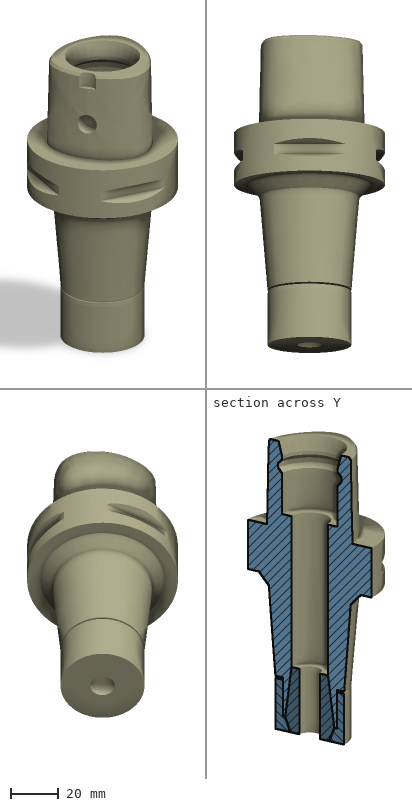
import cadquery as cq
import math

TOTAL_HEIGHT = 128.0

SHANK_HEIGHT = 38.0
SHANK_BASE_RADIUS = 22.1
SHANK_TAPER = 1 / 40
LOBE_HEIGHT = 1.3
LOBE_COUNT = 3
SHANK_CHAMFER_HEIGHT = 1.3
SHANK_CHAMFER_WIDTH = 0.9
OUTLINE_POINTS = 72

FLANGE_RADIUS = 31.5
FLANGE_HEIGHT = 22.0
FLARE_TOP_RADIUS = 25.9
FLARE_HEIGHT = 5.1
NOSE_TOP_RADIUS = 20.9
NOSE_BOTTOM_RADIUS = 17.5
NECK_RADIUS = 13.8

NUT_RADIUS = 17.5
NUT_HEIGHT = 22.7
NUT_GAP = 0.8
NUT_BAND_HEIGHT = 1.8
NUT_BAND_TAPER = 0.1
NUT_SEAT = 6.4

COLLET_BORE_RADIUS = 5.1
COLLET_BACK_RADIUS = 9.1
COLLET_MAX_RADIUS = 12.3
COLLET_FRONT_RADIUS = 9.6
COLLET_ANGLE = 8.0

MOUTH_RADIUS = 15.7
MOUTH_DEPTH = 6.4
BORE_RADIUS = 14.0
BORE_DEPTH = 32.0
GROOVE_START = 8.0
GROOVE_END = 14.0
GROOVE_DEPTH = 1.9

NOTCH_RADIUS = 4.2
NOTCH_DEPTH = 6.3
NOTCH_CENTER_Y = -21.9
SIDE_HOLE_RADIUS = 4.2
SIDE_HOLE_BELOW_TOP = 22.4
SIDE_HOLE_FLOOR_Y = -14.5

SLOT_COUNT = 4
SLOT_FIRST_ANGLE = 45.0
SLOT_BELOW_FLANGE_TOP = 12.0
SLOT_FLOOR_DISTANCE = 27.8
SLOT_FLOOR_HEIGHT = 4.2
SLOT_FLANK_ANGLE = 25.0

SHANK_BASE_Z = TOTAL_HEIGHT - SHANK_HEIGHT
FLANGE_BOTTOM_Z = SHANK_BASE_Z - FLANGE_HEIGHT
FLARE_BOTTOM_Z = FLANGE_BOTTOM_Z - FLARE_HEIGHT
NOSE_BOTTOM_Z = NUT_HEIGHT + NUT_GAP
COLLET_TAPER_HEIGHT = (COLLET_MAX_RADIUS - COLLET_BACK_RADIUS) / math.tan(math.radians(COLLET_ANGLE))
COLLET_TOP_Z = NUT_SEAT + COLLET_TAPER_HEIGHT


def revolved(profile):
    """Solid turned about Z from a closed list of (radius, z) points."""
    return cq.Workplane("XZ").polyline(profile).close().revolve(360, (0, 0), (0, 1))


def lobed_wire(mean_radius, z):
    """Constant-width lobed outline whose support distance is mean_radius + LOBE_HEIGHT * cos(n * angle)."""
    points = []
    for i in range(OUTLINE_POINTS):
        angle = 2 * math.pi * i / OUTLINE_POINTS
        support = mean_radius + LOBE_HEIGHT * math.cos(LOBE_COUNT * angle)
        slope = -LOBE_COUNT * LOBE_HEIGHT * math.sin(LOBE_COUNT * angle)
        along = support * math.cos(angle) - slope * math.sin(angle)
        across = support * math.sin(angle) + slope * math.cos(angle)
        points.append(cq.Vector(-across, along, z))
    return cq.Wire.assembleEdges([cq.Edge.makeSpline(points, periodic=True)])


def make_shank():
    chamfer_z = TOTAL_HEIGHT - SHANK_CHAMFER_HEIGHT
    chamfer_radius = SHANK_BASE_RADIUS - SHANK_TAPER * (chamfer_z - SHANK_BASE_Z)
    sections = [
        lobed_wire(SHANK_BASE_RADIUS, SHANK_BASE_Z),
        lobed_wire(chamfer_radius, chamfer_z),
        lobed_wire(chamfer_radius - SHANK_CHAMFER_WIDTH, TOTAL_HEIGHT),
    ]
    return cq.Workplane(cq.Solid.makeLoft(sections, True))


def make_turned_body():
    """Flange, flare, tapered nose and the neck that enters the nut."""
    return revolved([
        (0, NUT_SEAT),
        (NECK_RADIUS, NUT_SEAT),
        (NECK_RADIUS, NOSE_BOTTOM_Z),
        (NOSE_BOTTOM_RADIUS, NOSE_BOTTOM_Z),
        (NOSE_TOP_RADIUS, FLARE_BOTTOM_Z),
        (FLARE_TOP_RADIUS, FLANGE_BOTTOM_Z),
        (FLANGE_RADIUS, FLANGE_BOTTOM_Z),
        (FLANGE_RADIUS, SHANK_BASE_Z),
        (0, SHANK_BASE_Z),
    ])


def make_bore():
    """Flared mouth, clamping groove, bore, through hole and collet taper, all on the axis."""
    groove_radius = BORE_RADIUS + GROOVE_DEPTH
    floor_z = TOTAL_HEIGHT - BORE_DEPTH
    return revolved([
        (0, TOTAL_HEIGHT),
        (MOUTH_RADIUS, TOTAL_HEIGHT),
        (BORE_RADIUS, TOTAL_HEIGHT - MOUTH_DEPTH),
        (BORE_RADIUS, TOTAL_HEIGHT - GROOVE_START),
        (groove_radius, TOTAL_HEIGHT - GROOVE_START - GROOVE_DEPTH),
        (groove_radius, TOTAL_HEIGHT - GROOVE_END + GROOVE_DEPTH),
        (BORE_RADIUS, TOTAL_HEIGHT - GROOVE_END),
        (BORE_RADIUS, floor_z),
        (COLLET_BACK_RADIUS, floor_z),
        (COLLET_BACK_RADIUS, COLLET_TOP_Z),
        (COLLET_MAX_RADIUS, NUT_SEAT),
        (0, NUT_SEAT),
    ])


def make_key_notch():
    return (
        cq.Workplane("XY", origin=(0, NOTCH_CENTER_Y, TOTAL_HEIGHT - NOTCH_DEPTH))
        .circle(NOTCH_RADIUS)
        .extrude(NOTCH_DEPTH)
    )


def make_side_hole():
    """Flat-bottomed hole running from the floor out through the -Y flank."""
    return (
        cq.Workplane("XZ", origin=(0, SIDE_HOLE_FLOOR_Y, TOTAL_HEIGHT - SIDE_HOLE_BELOW_TOP))
        .circle(SIDE_HOLE_RADIUS)
        .extrude(FLANGE_RADIUS + SIDE_HOLE_FLOOR_Y)
    )


def make_gripper_slot(angle):
    """Straight trapezoidal groove across the flange rim, wider at its mouth."""
    depth = FLANGE_RADIUS - SLOT_FLOOR_DISTANCE
    half_floor = SLOT_FLOOR_HEIGHT / 2
    half_mouth = half_floor + depth * math.tan(math.radians(SLOT_FLANK_ANGLE))
    return (
        cq.Workplane("XZ", origin=(0, 0, SHANK_BASE_Z - SLOT_BELOW_FLANGE_TOP))
        .polyline([
            (SLOT_FLOOR_DISTANCE, -half_floor),
            (FLANGE_RADIUS, -half_mouth),
            (FLANGE_RADIUS, half_mouth),
            (SLOT_FLOOR_DISTANCE, half_floor),
        ])
        .close()
        .extrude(FLANGE_RADIUS, both=True)
        .rotate((0, 0, 0), (0, 0, 1), angle)
    )


def make_holder():
    holder = make_turned_body().union(make_shank())
    holder = holder.cut(make_bore()).cut(make_key_notch()).cut(make_side_hole())
    for i in range(SLOT_COUNT):
        holder = holder.cut(make_gripper_slot(SLOT_FIRST_ANGLE + i * 360 / SLOT_COUNT))
    return holder


def make_nut():
    """Ring around the neck, with a conical opening that presses on the collet."""
    return revolved([
        (COLLET_FRONT_RADIUS, 0),
        (NUT_RADIUS, 0),
        (NUT_RADIUS, NUT_HEIGHT - NUT_BAND_HEIGHT),
        (NUT_RADIUS - NUT_BAND_TAPER, NUT_HEIGHT),
        (NECK_RADIUS, NUT_HEIGHT),
        (NECK_RADIUS, NUT_SEAT),
        (COLLET_MAX_RADIUS, NUT_SEAT),
    ])


def make_collet():
    """Bored double cone held between the holder and the nut."""
    return revolved([
        (COLLET_BORE_RADIUS, 0),
        (COLLET_FRONT_RADIUS, 0),
        (COLLET_MAX_RADIUS, NUT_SEAT),
        (COLLET_BACK_RADIUS, COLLET_TOP_Z),
        (COLLET_BORE_RADIUS, COLLET_TOP_Z),
    ])


holder = make_holder()
nut = make_nut()
collet = make_collet()

result = cq.Compound.makeCompound([holder.val(), nut.val(), collet.val()])